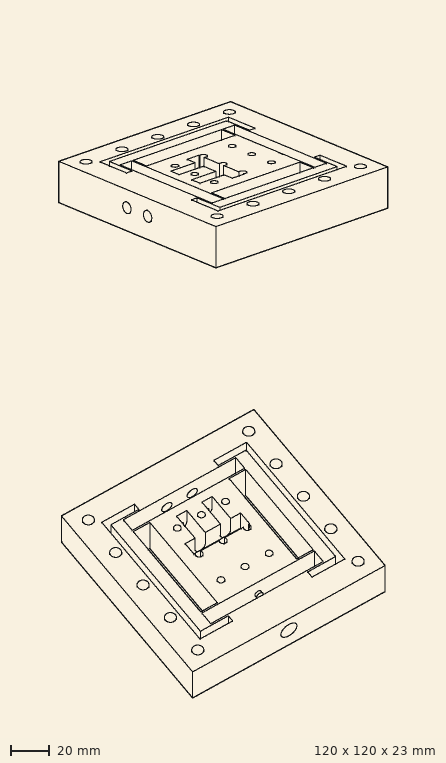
import cadquery as cq

side = 120.0
height = 23.0

leaf = 1.0
window_half_x = 35.0
window_half_y = 40.0
stage_half_x = 24.7
stage_half_y = 31.8
slot_outer_x = 45.1
slot_outer_y = 44.9
bar_outer_x = 42.1
bar_half_y = window_half_y + leaf

frame_hole_dia = 6.2
frame_hole_span = 100.0
frame_hole_columns = 2
frame_hole_rows = 5
frame_hole_row_pitch = frame_hole_span / (frame_hole_rows - 1)
stage_hole_dia = 4.0
stage_hole_pitch_x = 15.0
stage_hole_pitch_y = 19.9
stage_hole_columns = 3
stage_hole_rows = 3

axis_z = 13.0
access_dia = 6.4
access_offset_x = 7.9
access_centers_x = (-access_offset_x, access_offset_x)
screw_dia = 2.5
actuator_dia = 10.0
pin_dia = 4.0
pin_length = 1.5

pocket_half_x = 17.3
pocket_back_y = -1.2
pocket_front_y = -9.5
pocket_floor_z = axis_z - access_dia / 2
channel_front_y = -26.4


def block(x0, x1, y0, y1, z0=0.0, z1=height):
    """Box between two opposite corners."""
    return cq.Workplane("XY").box(x1 - x0, y1 - y0, z1 - z0, centered=False).translate((x0, y0, z0))


def rod(x, diameter, y0, y1):
    """Cylinder at the height of the actuation axis, running along Y."""
    start = cq.Vector(x, y0, axis_z)
    return cq.Workplane(cq.Solid.makeCylinder(diameter / 2, y1 - y0, start, cq.Vector(0, 1, 0)))


def flexure_cuts():
    """Through openings that free the stage and leave the spring leaves standing."""
    c_slot = block(stage_half_x, slot_outer_x, -slot_outer_y, slot_outer_y)
    c_slot = c_slot.cut(block(stage_half_x, bar_outer_x, -bar_half_y, bar_half_y))
    side_window_half_y = stage_half_y - leaf
    side_window = block(stage_half_x, window_half_x, -side_window_half_y, side_window_half_y)
    end_window = block(-window_half_x, window_half_x, stage_half_y, window_half_y)
    right_side = c_slot.union(side_window)
    return right_side.union(right_side.mirror("YZ")).union(end_window).union(end_window.mirror("XZ"))


def stage_pocket():
    """Nut pocket with two round-bottomed channels, all open at the top."""
    pocket = block(-pocket_half_x, pocket_half_x, pocket_front_y, pocket_back_y, pocket_floor_z)
    for x in access_centers_x:
        channel = block(x - access_dia / 2, x + access_dia / 2, channel_front_y, pocket_front_y, axis_z)
        pocket = pocket.union(channel).union(rod(x, access_dia, channel_front_y, pocket_front_y))
    return pocket


plate = cq.Workplane("XY").box(side, side, height, centered=(True, True, False))
plate = plate.cut(flexure_cuts()).cut(stage_pocket())

frame_holes = (
    cq.Workplane("XY")
    .rarray(frame_hole_span, frame_hole_row_pitch, frame_hole_columns, frame_hole_rows)
    .circle(frame_hole_dia / 2)
    .extrude(height)
)
stage_holes = (
    cq.Workplane("XY")
    .rarray(stage_hole_pitch_x, stage_hole_pitch_y, stage_hole_columns, stage_hole_rows)
    .circle(stage_hole_dia / 2)
    .extrude(height)
)
plate = plate.cut(frame_holes).cut(stage_holes)

for x in access_centers_x:
    plate = plate.cut(rod(x, access_dia, -side / 2, -window_half_y))
    plate = plate.cut(rod(x, screw_dia, -stage_half_y, channel_front_y))

plate = plate.cut(rod(0, actuator_dia, window_half_y, side / 2))
plate = plate.union(rod(0, pin_dia, stage_half_y - leaf, stage_half_y + pin_length))

result = plate